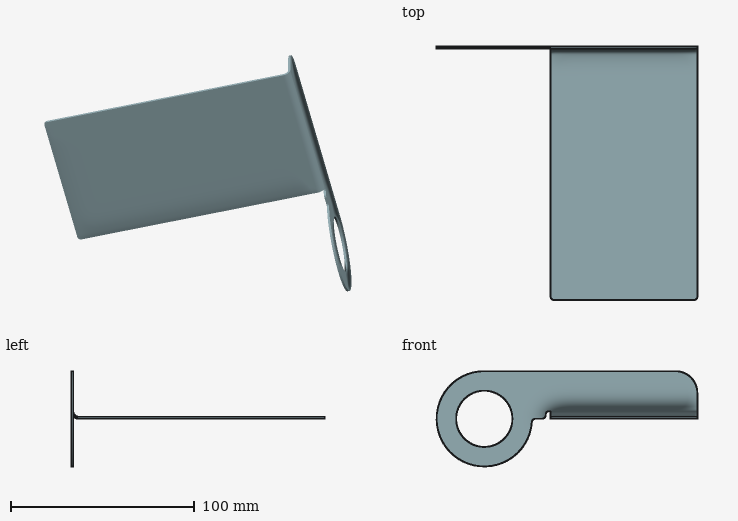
import cadquery as cq

thickness = 1.2
bend_outer_radius = 4.0
bend_inner_radius = bend_outer_radius - thickness

ring_radius = 26.0
hole_diameter = 30.5

arm_end_x = 116.0
arm_corner_radius = 12.0

shelf_width = 80.0
shelf_depth = 138.0
shelf_corner_radius = 2.0
shelf_bottom_z = 0.0
shelf_top_z = shelf_bottom_z + thickness
shelf_start_x = arm_end_x - shelf_width
bend_top_z = shelf_bottom_z + bend_outer_radius

relief_gap = 2.5
relief_corner_radius = 1.5
step_corner_radius = 2.0
ring_step_fillet_radius = 2.0
step_end_x = shelf_start_x - relief_gap


def fillet_upright_corner(upright, x, z, radius):
    """Round the through-thickness edge of the upright nearest (x, z)."""
    corner = cq.selectors.NearestToPointSelector((x, -thickness / 2, z))
    return upright.edges("|Y").edges(corner).fillet(radius)


def make_upright():
    """Flat upright: ring disc, arm and step, with rounded corners and the hole."""
    disc = cq.Workplane("XZ").circle(ring_radius).extrude(thickness)
    arm = (
        cq.Workplane("XZ")
        .moveTo(0, ring_radius)
        .lineTo(arm_end_x, ring_radius)
        .lineTo(arm_end_x, bend_top_z)
        .lineTo(step_end_x, bend_top_z)
        .lineTo(step_end_x, shelf_bottom_z)
        .lineTo(0, shelf_bottom_z)
        .close()
        .extrude(thickness)
    )
    upright = disc.union(arm)
    rounded_corners = [
        (arm_end_x, ring_radius, arm_corner_radius),
        (step_end_x, bend_top_z, relief_corner_radius),
        (step_end_x, shelf_bottom_z, step_corner_radius),
        (ring_radius, shelf_bottom_z, ring_step_fillet_radius),
    ]
    for x, z, radius in rounded_corners:
        upright = fillet_upright_corner(upright, x, z, radius)
    hole = cq.Workplane("XZ").circle(hole_diameter / 2).extrude(thickness)
    return upright.cut(hole)


def make_shelf():
    """Bend and horizontal shelf, with the two free corners rounded."""
    shelf = (
        cq.Workplane("YZ", origin=(shelf_start_x, 0, 0))
        .moveTo(0, bend_top_z)
        .radiusArc((-bend_outer_radius, shelf_bottom_z), bend_outer_radius)
        .lineTo(-shelf_depth, shelf_bottom_z)
        .lineTo(-shelf_depth, shelf_top_z)
        .lineTo(-bend_outer_radius, shelf_top_z)
        .radiusArc((-thickness, bend_top_z), -bend_inner_radius)
        .close()
        .extrude(shelf_width)
    )
    return shelf.faces("<Y").edges("|Z").fillet(shelf_corner_radius)


result = make_upright().union(make_shelf())